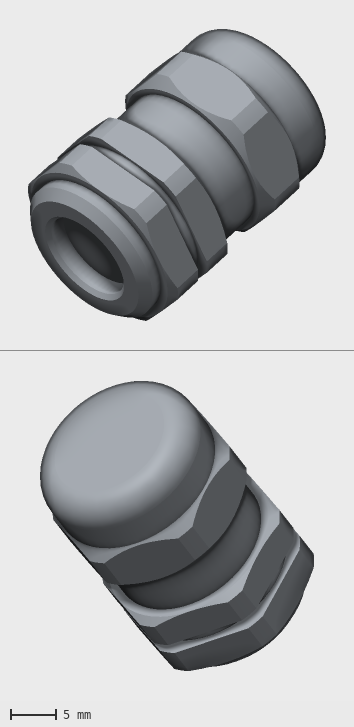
import cadquery as cq
import math


ACROSS_FLATS = 20.0
ACROSS_CORNERS = ACROSS_FLATS / math.cos(math.radians(30))
CORNER_DIAMETER = 22.0
FLAT_RADIUS = ACROSS_FLATS / 2
CORNER_RADIUS = CORNER_DIAMETER / 2
NUT_BEVEL_WIDTH = CORNER_RADIUS - FLAT_RADIUS
NUT_BEVEL_ANGLE = math.radians(30)
NUT_BEVEL_LENGTH = NUT_BEVEL_WIDTH * math.tan(NUT_BEVEL_ANGLE)

BODY_DIAMETER = 18.0
ENTRY_DIAMETER = 15.8
CAP_DIAMETER = 19.6
CAP_DOME_RADIUS = 3.0
CAP_BEVEL = CORNER_RADIUS - CAP_DIAMETER / 2

RING_SECTION_DIAMETER = 2.0
RING_OUTER_DIAMETER = 19.55
RING_GAP = 1.5

BORE_DIAMETER = 10.6
BORE_MOUTH_DIAMETER = 11.6
BORE_BEVEL = (BORE_MOUTH_DIAMETER - BORE_DIAMETER) / 2
BORE_DEPTH = 2.5

ENTRY_BEVEL = (BODY_DIAMETER - ENTRY_DIAMETER) / 2
ENTRY_LENGTH = 2.5
NUT_LENGTH = 4.0
NECK_LENGTH = 6.2
CAP_HEX_LENGTH = 6.5
TOTAL_LENGTH = 31.19

NUT_START = ENTRY_LENGTH
RING_START = NUT_START + NUT_LENGTH
FLANGE_START = RING_START + RING_GAP
NECK_START = FLANGE_START + NUT_LENGTH
CAP_START = NECK_START + NECK_LENGTH
CAP_ROUND_START = CAP_START + CAP_HEX_LENGTH
CAP_ROUND_LENGTH = TOTAL_LENGTH - CAP_ROUND_START


def plane_at(y):
    """Plane across the axis at height y, drawn along X and Z, extruding toward +Y."""
    return cq.Workplane(cq.Plane(origin=(0, y, 0), xDir=(1, 0, 0), normal=(0, 1, 0)))


def revolve_about_y(profile):
    """Turn a closed profile of (radius, y) in the XY plane around the Y axis."""
    return profile.revolve(360, (0, 0, 0), (0, 1, 0))


def hexagon(start, length, front_bevel=None, back_bevel=None):
    """Hexagon with corners turned round; a bevel is (radial width, length along Y)."""
    end = start + length
    front_width, front_length = front_bevel or (0, 0)
    back_width, back_length = back_bevel or (0, 0)
    outline = [(0, start), (CORNER_RADIUS - front_width, start)]
    if front_bevel:
        outline.append((CORNER_RADIUS, start + front_length))
    if back_bevel:
        outline.append((CORNER_RADIUS, end - back_length))
    outline += [(CORNER_RADIUS - back_width, end), (0, end)]
    turned_blank = revolve_about_y(cq.Workplane("XY").polyline(outline).close())
    prism = plane_at(start).polygon(6, ACROSS_CORNERS).extrude(length)
    return prism.intersect(turned_blank)


def body():
    """Round body with a beveled entry end, running up into the cap."""
    cylinder = plane_at(0).circle(BODY_DIAMETER / 2).extrude(CAP_START)
    return cylinder.faces("<Y").chamfer(ENTRY_BEVEL)


def sealing_ring():
    """O-ring of round section, touching the lock nut and sinking into the flange.

    The section is drawn from its inner side, so its seam lies hidden in the body.
    """
    section_radius = RING_SECTION_DIAMETER / 2
    centre_radius = RING_OUTER_DIAMETER / 2 - section_radius
    section_plane = cq.Plane(
        origin=(centre_radius, RING_START + section_radius, 0),
        xDir=(-1, 0, 0),
        normal=(0, 0, 1),
    )
    section = cq.Workplane(section_plane).circle(section_radius)
    return section.revolve(360, (centre_radius, 0, 0), (centre_radius, 1, 0))


def cap_round():
    """Round end of the cap with a rounded rim."""
    cylinder = plane_at(CAP_ROUND_START).circle(CAP_DIAMETER / 2).extrude(CAP_ROUND_LENGTH)
    return cylinder.faces(">Y").edges().fillet(CAP_DOME_RADIUS)


def bore():
    """Blind bore with a beveled mouth."""
    outline = [
        (0, 0),
        (BORE_MOUTH_DIAMETER / 2, 0),
        (BORE_DIAMETER / 2, BORE_BEVEL),
        (BORE_DIAMETER / 2, BORE_DEPTH),
        (0, BORE_DEPTH),
    ]
    return revolve_about_y(cq.Workplane("XY").polyline(outline).close())


nut_bevel = (NUT_BEVEL_WIDTH, NUT_BEVEL_LENGTH)
cap_bevel = (CAP_BEVEL, CAP_BEVEL)

lock_nut = hexagon(NUT_START, NUT_LENGTH, front_bevel=nut_bevel)
flange = hexagon(FLANGE_START, NUT_LENGTH, back_bevel=nut_bevel)
cap_hex = hexagon(CAP_START, CAP_HEX_LENGTH, front_bevel=cap_bevel, back_bevel=cap_bevel)

result = body()
for piece in (lock_nut, sealing_ring(), flange, cap_hex, cap_round()):
    result = result.union(piece)
result = result.cut(bore())